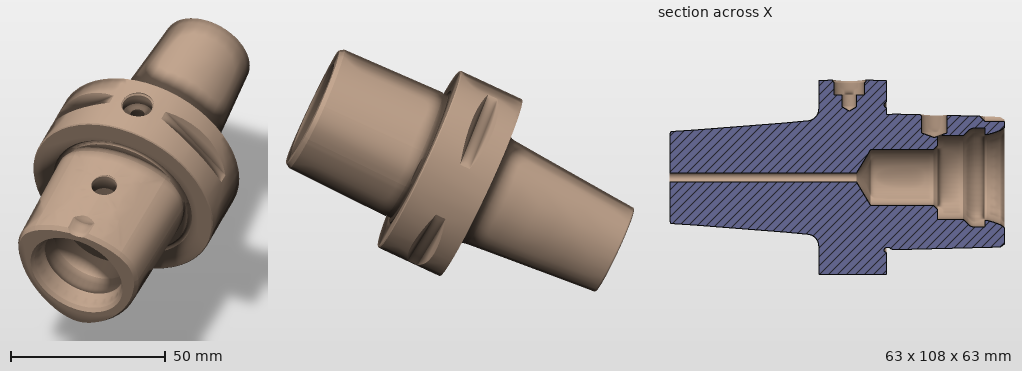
import cadquery as cq
import math


TOTAL_LENGTH = 108.0
SHANK_LENGTH = 38.0
NOSE_END_Y = TOTAL_LENGTH - SHANK_LENGTH
NOSE_TIP_RADIUS = 14.9
NOSE_TAPER_ANGLE = 4.5
NOSE_TIP_ROUND = 0.6
NOSE_ROOT_FILLET = 3.8
FLANGE_RADIUS = 31.5
FLANGE_WIDTH = 22.0
FLANGE_CHAMFER = 0.3

LOBE_COUNT = 3
POLYGON_RADIUS = 22.0
LOBE_HEIGHT = 1.4
SHANK_SLOPE = 1 / 40
LOBE_HALF_ANGLE = 27.0
POINTS_PER_FACE = 9
NECK_LENGTH = 1.8
NECK_INSET = 0.2
NECK_FOOT_CHAMFER = 0.16
SHANK_CHAMFER_LENGTH = 1.4
SHANK_CHAMFER_DEPTH = 1.0

RELIEF_INNER_RADIUS = 22.7
RELIEF_OUTER_RADIUS = 24.3
RELIEF_LENGTH = 0.9

BORE_MOUTH_RADIUS = 16.15
BORE_TAPER_RADIUS = 15.2
BORE_LIP_RADIUS = 13.77
BORE_RADIUS = 13.5
MOUTH_CHAMFER_DEPTH = 1.2
LIP_DEPTH = 5.6
RING_GROOVE_RADIUS = 16.0
RING_GROOVE_START = 6.4
RING_GROOVE_BACK = 13.3
RING_GROOVE_ARC_RADIUS = 3.2
BORE_DEPTH = 21.6
THREAD_MOUTH_RADIUS = 10.3
THREAD_RADIUS = 9.0
THREAD_DEPTH = 21.6
THROUGH_HOLE_RADIUS = 1.4
DRILL_POINT_ANGLE = 118.0

GRIP_Y = 12.1
GRIP_COUNT = 4
GRIP_FLOOR_RADIUS = 27.8
GRIP_FLOOR_WIDTH = 3.3
GRIP_FLANK_ANGLE = 30.0
COOLANT_RECESS_RADIUS = 4.9
COOLANT_RIM_CHAMFER = 0.4
COOLANT_RECESS_DEPTH = 4.8
COOLANT_HOLE_RADIUS = 2.3
COOLANT_HOLE_DEPTH = 8.6
SHANK_HOLE_Y = -15.3
SHANK_HOLE_RADIUS = 4.1
SHANK_HOLE_FLOOR_Z = 14.5
SHANK_HOLE_POINT_ANGLE = 140.0
SHANK_HOLE_RIM_CHAMFER = 0.3

NOTCH_RADIUS = 5.4
NOTCH_FLOOR_Z = 18.1
NOTCH_LENGTH = 6.3
NOTCH_CONE_HALF_ANGLE = 45.0


def revolved(points):
    """Closed (radius, Y) outline turned about the Y axis."""
    return cq.Workplane("XY").polyline(points).close().revolve(360, (0, 0, 0), (0, 1, 0))


def drill_tip_height(radius, point_angle=DRILL_POINT_ANGLE):
    return radius / math.tan(math.radians(point_angle / 2))


def polygon_point(normal_degrees, radius):
    """Point of the lobed curve where its outward normal has the given direction."""
    a = math.radians(normal_degrees)
    reach = radius + LOBE_HEIGHT * math.sin(LOBE_COUNT * a)
    slide = LOBE_COUNT * LOBE_HEIGHT * math.cos(LOBE_COUNT * a)
    x = reach * math.cos(a) - slide * math.sin(a)
    z = reach * math.sin(a) + slide * math.cos(a)
    return x, z


def polygon_wire(radius, y):
    """Closed lobed curve in a plane across the axis, one edge per lobe and per flank."""
    pitch = 360 / LOBE_COUNT
    edges = []
    for lobe in range(LOBE_COUNT):
        lobe_angle = -90 + lobe * pitch
        breaks = (lobe_angle - LOBE_HALF_ANGLE, lobe_angle + LOBE_HALF_ANGLE,
                  lobe_angle + pitch - LOBE_HALF_ANGLE)
        for start, end in zip(breaks, breaks[1:]):
            points = []
            for i in range(POINTS_PER_FACE):
                normal = start + (end - start) * i / (POINTS_PER_FACE - 1)
                x, z = polygon_point(normal, radius)
                points.append(cq.Vector(x, y, z))
            tangents = [cq.Vector(-math.sin(math.radians(n)), 0, math.cos(math.radians(n)))
                        for n in (start, end)]
            edges.append(cq.Edge.makeSpline(points, tangents=tangents))
    return cq.Wire.assembleEdges(edges)


def polygon_frustum(radius_a, y_a, radius_b, y_b):
    wires = [polygon_wire(radius_a, y_a), polygon_wire(radius_b, y_b)]
    return cq.Workplane(cq.Solid.makeLoft(wires, True))


def make_nose_and_flange():
    nose_length = NOSE_END_Y - FLANGE_WIDTH
    root_radius = NOSE_TIP_RADIUS + nose_length * math.tan(math.radians(NOSE_TAPER_ANGLE))
    body = revolved([
        (0, 0),
        (FLANGE_RADIUS - FLANGE_CHAMFER, 0),
        (FLANGE_RADIUS, FLANGE_CHAMFER),
        (FLANGE_RADIUS, FLANGE_WIDTH),
        (root_radius, FLANGE_WIDTH),
        (NOSE_TIP_RADIUS, NOSE_END_Y),
        (0, NOSE_END_Y),
    ])
    body = body.faces(">Y").edges().fillet(NOSE_TIP_ROUND)
    flange_back = body.faces(cq.selectors.NearestToPointSelector((0, FLANGE_WIDTH, 0)))
    root_edge = flange_back.edges(cq.selectors.RadiusNthSelector(0))
    return root_edge.fillet(NOSE_ROOT_FILLET)


def make_shank():
    chamfer_y = SHANK_CHAMFER_LENGTH - SHANK_LENGTH
    chamfer_radius = POLYGON_RADIUS + SHANK_SLOPE * chamfer_y
    end_radius = chamfer_radius - SHANK_CHAMFER_DEPTH
    neck_front_radius = POLYGON_RADIUS - SHANK_SLOPE * NECK_LENGTH
    neck_radius = neck_front_radius - NECK_INSET
    foot_radius = neck_radius + NECK_FOOT_CHAMFER
    foot = polygon_frustum(foot_radius, 0, neck_radius, -NECK_FOOT_CHAMFER)
    neck = polygon_frustum(neck_radius, FLANGE_WIDTH / 2, neck_radius, -NECK_LENGTH)
    taper = polygon_frustum(neck_front_radius, -NECK_LENGTH, chamfer_radius, chamfer_y)
    tip = polygon_frustum(chamfer_radius, chamfer_y, end_radius, -SHANK_LENGTH)
    return neck.union(foot).union(taper).union(tip)


def make_relief():
    """Turned groove: trims the lobes at the neck and sinks a half-round into the flange face."""
    half_width = (RELIEF_OUTER_RADIUS - RELIEF_INNER_RADIUS) / 2
    middle_radius = RELIEF_INNER_RADIUS + half_width
    run_out_y = -RELIEF_LENGTH - (RELIEF_OUTER_RADIUS - RELIEF_INNER_RADIUS)
    return (
        cq.Workplane("XY")
        .moveTo(RELIEF_INNER_RADIUS, 0)
        .threePointArc((middle_radius, half_width), (RELIEF_OUTER_RADIUS, 0))
        .lineTo(RELIEF_OUTER_RADIUS, run_out_y)
        .lineTo(RELIEF_INNER_RADIUS, -RELIEF_LENGTH)
        .close()
        .revolve(360, (0, 0, 0), (0, 1, 0))
    )


def make_bore():
    mouth_y = -SHANK_LENGTH
    floor_y = mouth_y + BORE_DEPTH
    thread_chamfer = THREAD_MOUTH_RADIUS - THREAD_RADIUS
    thread_end_y = floor_y + THREAD_DEPTH
    cone_end_y = thread_end_y + drill_tip_height(THREAD_RADIUS - THROUGH_HOLE_RADIUS)
    arc_drop = RING_GROOVE_ARC_RADIUS * (1 - math.sqrt(0.5))
    arc_length = RING_GROOVE_ARC_RADIUS * math.sqrt(0.5)
    arc_end_radius = RING_GROOVE_RADIUS - arc_drop
    arc_end_y = mouth_y + RING_GROOVE_BACK - (arc_end_radius - BORE_RADIUS)
    arc_start_y = arc_end_y - arc_length
    return (
        cq.Workplane("XY")
        .moveTo(0, mouth_y)
        .lineTo(BORE_MOUTH_RADIUS, mouth_y)
        .lineTo(BORE_TAPER_RADIUS, mouth_y + MOUTH_CHAMFER_DEPTH)
        .lineTo(BORE_LIP_RADIUS, mouth_y + LIP_DEPTH)
        .lineTo(BORE_LIP_RADIUS, mouth_y + RING_GROOVE_START)
        .lineTo(RING_GROOVE_RADIUS, mouth_y + RING_GROOVE_START)
        .lineTo(RING_GROOVE_RADIUS, arc_start_y)
        .tangentArcPoint((arc_end_radius, arc_end_y), relative=False)
        .lineTo(BORE_RADIUS, mouth_y + RING_GROOVE_BACK)
        .lineTo(BORE_RADIUS, floor_y)
        .lineTo(THREAD_MOUTH_RADIUS, floor_y)
        .lineTo(THREAD_RADIUS, floor_y + thread_chamfer)
        .lineTo(THREAD_RADIUS, thread_end_y)
        .lineTo(THROUGH_HOLE_RADIUS, cone_end_y)
        .lineTo(THROUGH_HOLE_RADIUS, NOSE_END_Y)
        .lineTo(0, NOSE_END_Y)
        .close()
        .revolve(360, (0, 0, 0), (0, 1, 0))
    )


def make_grip_groove():
    """Flat-floored V groove cut straight across the rim at +Z."""
    depth = FLANGE_RADIUS - GRIP_FLOOR_RADIUS
    floor_half = GRIP_FLOOR_WIDTH / 2
    top_half = floor_half + depth * math.tan(math.radians(GRIP_FLANK_ANGLE))
    return (
        cq.Workplane("YZ")
        .polyline([
            (GRIP_Y - floor_half, GRIP_FLOOR_RADIUS),
            (GRIP_Y + floor_half, GRIP_FLOOR_RADIUS),
            (GRIP_Y + top_half, FLANGE_RADIUS),
            (GRIP_Y - top_half, FLANGE_RADIUS),
        ])
        .close()
        .extrude(FLANGE_RADIUS, both=True)
    )


def turned_about_z(y, outline):
    """Closed (radius, Z) outline turned about a line along Z that crosses the tool axis at y."""
    profile = cq.Workplane("XZ", origin=(0, y, 0)).polyline(outline).close()
    return profile.revolve(360, (0, 0, 0), (0, 1, 0))


def make_coolant_hole():
    """Flat-floored recess with a chamfered mouth and a narrower drilled hole in its floor."""
    recess_floor_z = FLANGE_RADIUS - COOLANT_RECESS_DEPTH
    hole_floor_z = FLANGE_RADIUS - COOLANT_HOLE_DEPTH
    mouth_radius = COOLANT_RECESS_RADIUS + COOLANT_RIM_CHAMFER
    rim_z = math.sqrt(FLANGE_RADIUS**2 - mouth_radius**2)
    return turned_about_z(GRIP_Y, [
        (0, hole_floor_z - drill_tip_height(COOLANT_HOLE_RADIUS)),
        (COOLANT_HOLE_RADIUS, hole_floor_z),
        (COOLANT_HOLE_RADIUS, recess_floor_z),
        (COOLANT_RECESS_RADIUS, recess_floor_z),
        (COOLANT_RECESS_RADIUS, rim_z - COOLANT_RIM_CHAMFER),
        (mouth_radius, rim_z),
        (mouth_radius, FLANGE_RADIUS),
        (0, FLANGE_RADIUS),
    ])


def make_shank_hole():
    """Blind drilled hole with a chamfered mouth in the flat side of the shank."""
    rim_z = POLYGON_RADIUS + SHANK_SLOPE * SHANK_HOLE_Y - LOBE_HEIGHT
    mouth_radius = SHANK_HOLE_RADIUS + SHANK_HOLE_RIM_CHAMFER
    tip_height = drill_tip_height(SHANK_HOLE_RADIUS, SHANK_HOLE_POINT_ANGLE)
    return turned_about_z(SHANK_HOLE_Y, [
        (0, SHANK_HOLE_FLOOR_Z - tip_height),
        (SHANK_HOLE_RADIUS, SHANK_HOLE_FLOOR_Z),
        (SHANK_HOLE_RADIUS, rim_z - SHANK_HOLE_RIM_CHAMFER),
        (mouth_radius, rim_z),
        (mouth_radius, FLANGE_RADIUS),
        (0, FLANGE_RADIUS),
    ])


def make_end_notch():
    """Drilled scallop parallel to the axis, open at the shank end and closed by a cone."""
    notch_end_y = NOTCH_LENGTH - SHANK_LENGTH
    cone_height = NOTCH_RADIUS / math.tan(math.radians(NOTCH_CONE_HALF_ANGLE))
    outline = [
        (0, -SHANK_LENGTH),
        (NOTCH_RADIUS, -SHANK_LENGTH),
        (NOTCH_RADIUS, notch_end_y),
        (0, notch_end_y + cone_height),
    ]
    return revolved(outline).translate((0, 0, NOTCH_FLOOR_Z + NOTCH_RADIUS))


result = make_nose_and_flange().union(make_shank())
result = result.cut(make_relief()).cut(make_bore())

grip_groove = make_grip_groove()
for index in range(GRIP_COUNT):
    angle = (index + 0.5) * 360 / GRIP_COUNT
    result = result.cut(grip_groove.rotate((0, 0, 0), (0, 1, 0), angle))

result = result.cut(make_coolant_hole()).cut(make_shank_hole()).cut(make_end_notch())